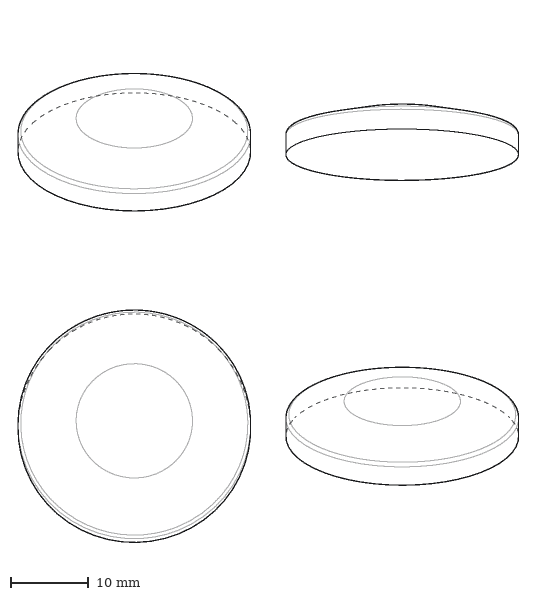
import cadquery as cq
import math

outer_diameter = 30.0
total_height = 5.0
rim_height = 3.0
cone_angle = 15.0
rim_fillet = 0.5

outer_radius = outer_diameter / 2
cone_height = total_height - rim_height
top_radius = outer_radius - cone_height / math.tan(math.radians(cone_angle))

profile = (
    cq.Workplane("XZ")
    .lineTo(outer_radius, 0)
    .lineTo(outer_radius, rim_height)
    .lineTo(top_radius, total_height)
    .lineTo(0, total_height)
    .close()
)
body = profile.revolve(360, (0, 0, 0), (0, 1, 0))

result = body.faces("%CONE").edges("<Z").fillet(rim_fillet)